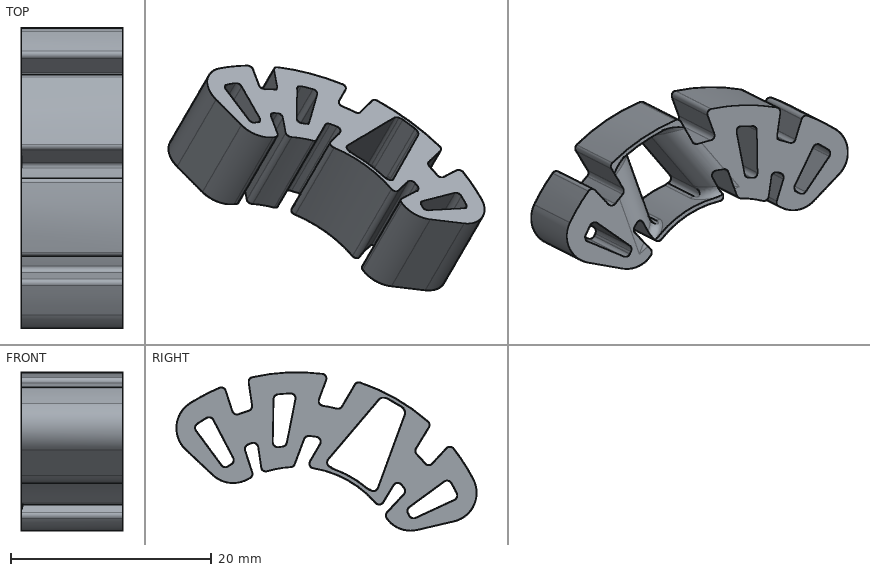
import cadquery as cq
import math


width = 10.15
rim_inner = 10.42
rim_outer = 19.9
body_tilt = -15.0
end_tilt = 61.8
end_offset = 1.25
end_corner = 2.95

bridge_inner = 13.57
bridge_outer = 16.75
gap_corner = 0.48
gap_overrun = 1.5
gaps = [
    ((-27.8, -2.6), (-16.4, -3.78)),
    ((-15.3, 4.4), (-5.5, 3.93)),
    ((23.4, 2.0), (33.0, 1.17)),
]

pocket_inner = 12.55
pocket_outer = 17.77
pocket_corner = 0.48
pockets = [
    ((-50.1, -0.15), (-38.8, -1.47)),
    ((3.8, 3.48), (14.0, 2.6)),
    ((42.6, 0.4), (51.4, -0.25)),
]

window_inner = 10.87
window_outer = 19.48
window_corner = 0.48
window_shelf = 0.1
window_left = (-5.1, -4.75)
window_right = (-25.3, 4.83)

flare_radius = 3.0
flare_corner = 0.78
flare_reach = 4.5
flare_turn = 10.0
flare_overrun = 1.5
jamb_depth = 18.0
jamb_length = 4 * rim_outer
tolerance = 0.003


def wall_point(wall, radius):
    """Point where a wall crosses a circle about the X axis."""
    tilt, offset = wall
    angle = math.radians(tilt) + math.asin(offset / radius)
    return (-radius * math.sin(angle), radius * math.cos(angle))


def arc_middle(start, end, radius):
    """Middle of the circular arc between two points on the same circle."""
    y = start[0] + end[0]
    z = start[1] + end[1]
    scale = radius / math.hypot(y, z)
    return (y * scale, z * scale)


def sector(inner, outer, left, right, start=0.0, length=width):
    """Prism along X between two concentric arcs and two straight walls."""
    inner_left = wall_point(left, inner)
    outer_left = wall_point(left, outer)
    outer_right = wall_point(right, outer)
    inner_right = wall_point(right, inner)
    return (
        cq.Workplane("YZ", origin=(start, 0, 0))
        .moveTo(*inner_left)
        .lineTo(*outer_left)
        .threePointArc(arc_middle(outer_left, outer_right, outer), outer_right)
        .lineTo(*inner_right)
        .threePointArc(arc_middle(inner_right, inner_left, inner), inner_left)
        .close()
        .extrude(length)
    )


def passes_through(edge, points):
    """Whether the middle of an edge along X lies on one of the (y, z) points."""
    middle = edge.positionAt(0.5)
    return any(math.dist((middle.y, middle.z), point) < tolerance for point in points)


def body():
    blank = sector(rim_inner, rim_outer, (-end_tilt, end_offset), (end_tilt, -end_offset))
    return blank.edges("|X").fillet(end_corner)


def gap_cutter(inner, outer, floor, walls):
    """Wedge between two lobes, rounded along its floor."""
    floor_corners = [wall_point(wall, floor) for wall in walls]
    wedge = sector(inner, outer, *walls)
    return wedge.edges("|X").filter(lambda edge: passes_through(edge, floor_corners)).fillet(gap_corner)


def cut_gaps(part):
    """Separate the lobes above and below the bridges and round the lobe edges."""
    lobe_corners = []
    for walls in gaps:
        part = part.cut(gap_cutter(bridge_outer, rim_outer + gap_overrun, bridge_outer, walls))
        part = part.cut(gap_cutter(rim_inner - gap_overrun, bridge_inner, bridge_inner, walls))
        lobe_corners += [wall_point(wall, rim) for wall in walls for rim in (rim_inner, rim_outer)]
    return part.edges("|X").filter(lambda edge: passes_through(edge, lobe_corners)).fillet(gap_corner)


def rounded_opening(inner, outer, walls, corner):
    """Cutter for an opening that runs the full width."""
    return sector(inner, outer, *walls).edges("|X").fillet(corner)


def jamb(wall, on_left):
    """Block behind a window side wall, rounded where the wall meets the -X face."""
    tilt, offset = wall
    block = (
        cq.Workplane("XY")
        .box(width + flare_overrun, jamb_depth, jamb_length, centered=(False, False, True))
        .edges("<X and <Y")
        .fillet(flare_radius)
    )
    if not on_left:
        block = block.mirror("XZ")
    return block.translate((0, -offset, 0)).rotate((0, 0, 0), (1, 0, 0), tilt)


def flare_cutter():
    """Window whose side walls curve outwards until they are tangent to the -X face."""
    left = (window_left[0] - flare_turn, window_left[1] - flare_reach)
    right = (window_right[0] + flare_turn, window_right[1] + flare_reach)
    flare = sector(window_inner, window_outer, left, right, -flare_overrun, width + flare_overrun)
    flare = flare.cut(jamb(window_left, True)).cut(jamb(window_right, False))

    def borders_the_flare(edge):
        middle = edge.positionAt(0.5)
        radius = math.hypot(middle.y, middle.z)
        on_web = min(abs(radius - window_inner), abs(radius - window_outer)) < tolerance
        return on_web and tolerance - flare_overrun < middle.x < width - tolerance

    return flare.edges().filter(borders_the_flare).fillet(flare_corner)


part = cut_gaps(body())
for walls in pockets:
    part = part.cut(rounded_opening(pocket_inner, pocket_outer, walls, pocket_corner))
part = part.cut(flare_cutter())
part = part.cut(rounded_opening(window_inner + window_shelf, window_outer - window_shelf,
                                (window_left, window_right), window_corner))
result = part.rotate((0, 0, 0), (1, 0, 0), body_tilt)